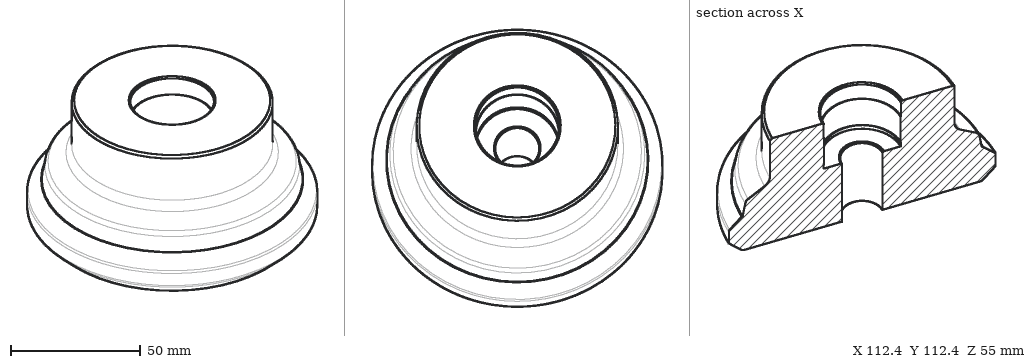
import cadquery as cq
import math

total_height = 55.0
disc_height = 18.2

disc_radius = 56.175
rim_bottom = 5.9
rim_top = 12.7
rim_round = 1.4
foot_round = 1.0

hub_foot_radius = 50.4
shoulder_corner_z = 25.9
shoulder_taper = 10.0
shoulder_round = 2.75
neck_radius = 38.9
neck_corner_z = 32.1
neck_round = 4.5
neck_chamfer = 1.0

seat_radius = 16.0
seat_relief = 0.15
seat_top_depth = 8.1
seat_bottom_depth = 22.0
bore_depth = 24.0
bore_chamfer = 0.65
hole_radius = 8.5
hole_chamfer = 0.5


def revolve_profile(points):
    """Turn a closed (radius, height) outline about the Z axis."""
    return cq.Workplane("XZ").polyline(points).close().revolve(360, (0, 0, 0), (0, 1, 0))


def edge_at(radius, height):
    """Selector for the circular edge of the given radius and height."""
    tolerance = 0.01
    return cq.selectors.BoxSelector(
        (-radius - tolerance, -radius - tolerance, height - tolerance),
        (radius + tolerance, radius + tolerance, height + tolerance),
        boundingbox=True,
    )


def make_disc():
    foot_radius = disc_radius - rim_bottom
    top_radius = disc_radius - (disc_height - rim_top)
    disc = revolve_profile([
        (0, 0),
        (foot_radius, 0),
        (disc_radius, rim_bottom),
        (disc_radius, rim_top),
        (top_radius, disc_height),
        (0, disc_height),
    ])
    disc = disc.edges(edge_at(disc_radius, rim_bottom)).fillet(rim_round)
    disc = disc.edges(edge_at(disc_radius, rim_top)).fillet(rim_round)
    return disc.edges(edge_at(foot_radius, 0)).fillet(foot_round)


def make_hub():
    shoulder_rise = shoulder_corner_z - disc_height
    shoulder_radius = hub_foot_radius - shoulder_rise * math.tan(math.radians(shoulder_taper))
    hub = revolve_profile([
        (0, disc_height),
        (hub_foot_radius, disc_height),
        (shoulder_radius, shoulder_corner_z),
        (neck_radius, neck_corner_z),
        (neck_radius, total_height),
        (0, total_height),
    ])
    hub = hub.edges(edge_at(shoulder_radius, shoulder_corner_z)).fillet(shoulder_round)
    hub = hub.edges(edge_at(neck_radius, neck_corner_z)).fillet(neck_round)
    return hub.edges(edge_at(neck_radius, total_height)).chamfer(neck_chamfer)


def make_bore():
    relief_radius = seat_radius + seat_relief
    seat_top_z = total_height - seat_top_depth
    seat_bottom_z = total_height - seat_bottom_depth
    floor_z = total_height - bore_depth
    return revolve_profile([
        (0, 0),
        (hole_radius, 0),
        (hole_radius, floor_z - hole_chamfer),
        (hole_radius + hole_chamfer, floor_z),
        (relief_radius, floor_z),
        (relief_radius, seat_bottom_z),
        (seat_radius, seat_bottom_z),
        (seat_radius, seat_top_z),
        (relief_radius, seat_top_z),
        (relief_radius, total_height - bore_chamfer),
        (relief_radius + bore_chamfer, total_height),
        (0, total_height),
    ])


result = make_disc().union(make_hub()).cut(make_bore())